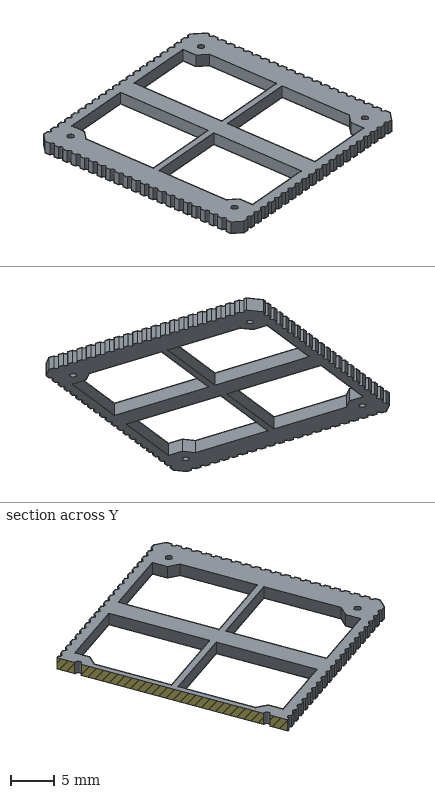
import cadquery as cq

SIDE = 29.59
THICKNESS = 1.6
HALF_SIDE = SIDE / 2

CORNER_CHAMFER = 1.1
INDEX_CHAMFER = 1.45

PITCH = 1.27
NOTCHES_PER_EDGE = 21
NOTCH_RADIUS = 0.3

WINDOW_OUTER_X = 13.34
WINDOW_OUTER_Y = 9 * PITCH
Y_RIB_WIDTH = 0.85
X_RIB_WIDTH = 2.54

LAND_START_X = 9 * PITCH
LAND_STEP = 1.1

HOLE_DIAMETER = 0.8
HOLE_OFFSET = 12.1

QUADRANTS = [(sx, sy) for sx in (-1, 1) for sy in (-1, 1)]


def make_plate():
    """Square plate, bottom face on Z = 0, with its four vertical corners chamfered."""
    index_start = HALF_SIDE - INDEX_CHAMFER
    corner_start = HALF_SIDE - CORNER_CHAMFER
    outline = [
        (-HALF_SIDE, index_start),
        (-index_start, HALF_SIDE),
        (corner_start, HALF_SIDE),
        (HALF_SIDE, corner_start),
        (HALF_SIDE, -corner_start),
        (corner_start, -HALF_SIDE),
        (-corner_start, -HALF_SIDE),
        (-HALF_SIDE, -corner_start),
    ]
    return cq.Workplane("XY").polyline(outline).close().extrude(THICKNESS)


def make_notches():
    """Round cutters centred on the edges of the plate."""
    first = -PITCH * (NOTCHES_PER_EDGE - 1) / 2
    centers = []
    for index in range(NOTCHES_PER_EDGE):
        along = first + index * PITCH
        for edge in (-HALF_SIDE, HALF_SIDE):
            centers.append((along, edge))
            centers.append((edge, along))
    return cq.Workplane("XY").pushPoints(centers).circle(NOTCH_RADIUS).extrude(THICKNESS)


def make_window(sx, sy):
    """Cutter for the window in the quadrant with signs sx and sy."""
    inner_x = Y_RIB_WIDTH / 2
    inner_y = X_RIB_WIDTH / 2
    land_y = WINDOW_OUTER_Y - LAND_STEP
    outline = [
        (inner_x, inner_y),
        (WINDOW_OUTER_X, inner_y),
        (WINDOW_OUTER_X, land_y),
        (LAND_START_X, land_y),
        (LAND_START_X - LAND_STEP, WINDOW_OUTER_Y),
        (inner_x, WINDOW_OUTER_Y),
    ]
    points = [(sx * x, sy * y) for x, y in outline]
    return cq.Workplane("XY").polyline(points).close().extrude(THICKNESS)


def make_holes():
    """Cutters for the four through holes near the corners."""
    centers = [(sx * HOLE_OFFSET, sy * HOLE_OFFSET) for sx, sy in QUADRANTS]
    return cq.Workplane("XY").pushPoints(centers).circle(HOLE_DIAMETER / 2).extrude(THICKNESS)


result = make_plate().cut(make_notches()).cut(make_holes())
for sign_x, sign_y in QUADRANTS:
    result = result.cut(make_window(sign_x, sign_y))